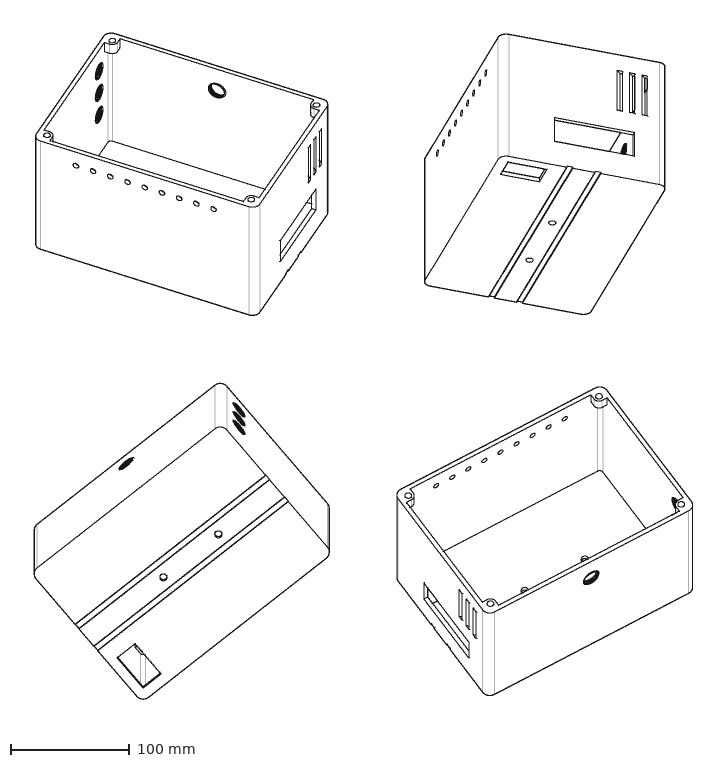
import cadquery as cq
import math

LENGTH = 208.0
WIDTH = 148.0
HEIGHT = 124.0
WALL = 4.0
CORNER_RADIUS = 7.0

BOSS_SETBACK = 9.0
BOSS_RADIUS = 5.0
BOSS_HEIGHT = 10.5
SCREW_DIAMETER = 5.6

LED_DIAMETER = 5.0
LED_COUNT = 9
LED_PITCH = 16.0
LED_DEPTH_BELOW_RIM = 15.5

GLAND_MINOR_DIAMETER = 14.0
GLAND_MAJOR_DIAMETER = 16.0
GLAND_THREAD_PITCH = 1.5
THREAD_BASE_WIDTH = 0.9 * GLAND_THREAD_PITCH
THREAD_OVERLAP = 0.1
GLAND_DEPTH_BELOW_RIM = 25.0
SIDE_GLAND_COUNT = 3
SIDE_GLAND_PITCH = 25.0
SIDE_GLAND_SETBACK = 24.0

VENT_COUNT = 3
VENT_WIDTH = 4.5
VENT_PITCH = 11.0
VENT_SETBACK = 14.0
VENT_BOTTOM = 67.5
VENT_HEIGHT = 40.1
VENT_ANGLE = 45.0

WINDOW_SETBACK = 29.1
WINDOW_WIDTH = 71.1
WINDOW_HEIGHT = 24.0
WINDOW_BOTTOM = 24.1

FLOOR_HOLE_DIAMETER = 6.0
FLOOR_HOLE_PITCH = 60.0
FLOOR_HOLES_MIDDLE_X = -10.0
FLOOR_OPENING_LENGTH = 19.5
FLOOR_OPENING_WIDTH = 34.5
FLOOR_OPENING_CENTER = (85.5, -47.5)
GROOVE_WIDTH = 5.0
GROOVE_DEPTH = 1.2
GROOVE_OFFSET = 12.5

LEFT = -LENGTH / 2
RIGHT = LENGTH / 2
FRONT = -WIDTH / 2
BACK = WIDTH / 2
CUT_MARGIN = 2.0


def block(x_min, x_max, y_min, y_max, z_min, z_max):
    """Box given by its limits along each axis."""
    size = (x_max - x_min, y_max - y_min, z_max - z_min)
    return cq.Workplane("XY").box(*size, centered=False).translate((x_min, y_min, z_min))


def shell():
    """Open box with rounded vertical corners inside and out."""
    outside = cq.Workplane("XY").box(LENGTH, WIDTH, HEIGHT, centered=(True, True, False))
    outside = outside.edges("|Z").fillet(CORNER_RADIUS)
    inside = (
        cq.Workplane("XY", origin=(0, 0, WALL))
        .box(LENGTH - 2 * WALL, WIDTH - 2 * WALL, HEIGHT, centered=(True, True, False))
        .edges("|Z").fillet(CORNER_RADIUS - WALL)
    )
    return outside.cut(inside)


def corner_boss(x_side, y_side):
    """Boss below the rim in the corner on the given sides, rounded about its screw axis."""
    boss_width = BOSS_SETBACK + BOSS_RADIUS - WALL
    center_setback = WALL + boss_width / 2
    center = (x_side * (RIGHT - center_setback), y_side * (BACK - center_setback))
    inward_x = "<X" if x_side > 0 else ">X"
    inward_y = "<Y" if y_side > 0 else ">Y"
    return (
        cq.Workplane("XY", origin=(*center, HEIGHT - BOSS_HEIGHT))
        .box(boss_width, boss_width, BOSS_HEIGHT, centered=(True, True, False))
        .edges("|Z").edges(inward_x).edges(inward_y).fillet(BOSS_RADIUS)
    )


def gland_hole():
    """Cutter for a threaded hole along +Z, crossing a wall that starts at Z = 0."""
    start = -CUT_MARGIN
    length = WALL + 2 * CUT_MARGIN
    bore_radius = GLAND_MINOR_DIAMETER / 2
    bore = cq.Workplane("XY", origin=(0, 0, start)).circle(bore_radius).extrude(length)

    base_radius = bore_radius - THREAD_OVERLAP
    half_base = THREAD_BASE_WIDTH / 2
    first_turn = start + half_base
    helix = cq.Wire.makeHelix(GLAND_THREAD_PITCH, length - THREAD_BASE_WIDTH, base_radius)
    helix = helix.translate(cq.Vector(0, 0, first_turn))
    thread = (
        cq.Workplane("XZ", origin=(0, 0, first_turn))
        .polyline([
            (base_radius, -half_base),
            (GLAND_MAJOR_DIAMETER / 2, 0),
            (base_radius, half_base),
        ])
        .close()
        .sweep(cq.Workplane(obj=helix), isFrenet=True)
    )
    return bore.union(thread)


body = shell()

for x_side in (-1, 1):
    for y_side in (-1, 1):
        body = body.union(corner_boss(x_side, y_side))
body = body.cut(
    cq.Workplane("XY", origin=(0, 0, HEIGHT - BOSS_HEIGHT))
    .rarray(LENGTH - 2 * BOSS_SETBACK, WIDTH - 2 * BOSS_SETBACK, 2, 2)
    .circle(SCREW_DIAMETER / 2).extrude(BOSS_HEIGHT)
)

body = body.cut(
    cq.Workplane("XZ", origin=(0, FRONT + WALL + CUT_MARGIN, HEIGHT - LED_DEPTH_BELOW_RIM))
    .rarray(LED_PITCH, 2, LED_COUNT, 1)
    .circle(LED_DIAMETER / 2).extrude(WALL + 2 * CUT_MARGIN)
)

gland_top = HEIGHT - GLAND_DEPTH_BELOW_RIM
side_gland = gland_hole().rotate((0, 0, 0), (0, 1, 0), 90)
for index in range(SIDE_GLAND_COUNT):
    z = gland_top - index * SIDE_GLAND_PITCH
    body = body.cut(side_gland.translate((LEFT, BACK - SIDE_GLAND_SETBACK, z)))
back_gland = gland_hole().rotate((0, 0, 0), (1, 0, 0), 90)
body = body.cut(back_gland.translate((0, BACK, gland_top)))

wall_cut_start = RIGHT - WALL - CUT_MARGIN
wall_cut_end = RIGHT + CUT_MARGIN

vent_slope = math.tan(math.radians(VENT_ANGLE))
for index in range(VENT_COUNT):
    edge_y = BACK - VENT_SETBACK - index * VENT_PITCH
    inner_y = edge_y + CUT_MARGIN * vent_slope
    outer_y = edge_y - (WALL + CUT_MARGIN) * vent_slope
    vent = (
        cq.Workplane("XY", origin=(0, 0, VENT_BOTTOM))
        .polyline([
            (wall_cut_start, inner_y),
            (wall_cut_end, outer_y),
            (wall_cut_end, outer_y - VENT_WIDTH),
            (wall_cut_start, inner_y - VENT_WIDTH),
        ])
        .close().extrude(VENT_HEIGHT)
    )
    body = body.cut(vent)

window_back = BACK - WINDOW_SETBACK
body = body.cut(block(
    wall_cut_start, wall_cut_end,
    window_back - WINDOW_WIDTH, window_back,
    WINDOW_BOTTOM, WINDOW_BOTTOM + WINDOW_HEIGHT,
))

body = body.cut(
    cq.Workplane("XY")
    .center(FLOOR_HOLES_MIDDLE_X, 0)
    .rarray(FLOOR_HOLE_PITCH, 2, 2, 1)
    .circle(FLOOR_HOLE_DIAMETER / 2).extrude(WALL)
)
body = body.cut(
    cq.Workplane("XY")
    .center(*FLOOR_OPENING_CENTER)
    .rect(FLOOR_OPENING_LENGTH, FLOOR_OPENING_WIDTH).extrude(WALL)
)
for side in (-1, 1):
    middle = side * GROOVE_OFFSET
    body = body.cut(block(
        LEFT, RIGHT, middle - GROOVE_WIDTH / 2, middle + GROOVE_WIDTH / 2, 0, GROOVE_DEPTH,
    ))

result = body